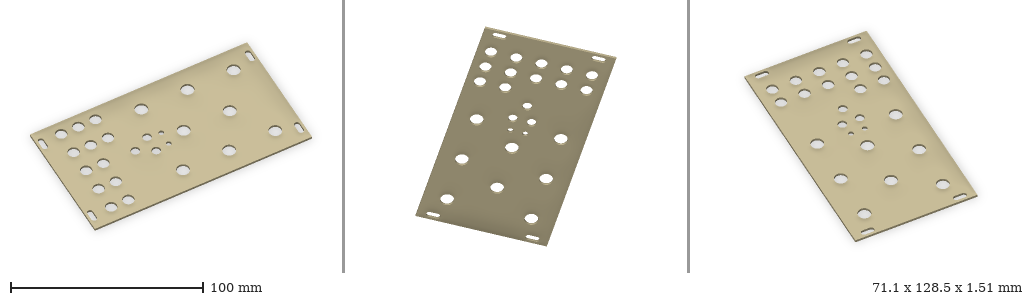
import cadquery as cq

PANEL_WIDTH = 71.12
PANEL_HEIGHT = 128.52
PANEL_THICKNESS = 1.51

SLOT_LENGTH = 7.6
SLOT_WIDTH = 3.2
SLOT_SPACING_X = 53.85
SLOT_SPACING_Y = 122.5

POT_DIAMETER = 7.21
POT_COLUMN_OFFSET = 22.86
POT_PITCH_Y = 27.3
OUTER_POT_TOP_Y = 49.4
OUTER_POT_ROWS = 3
CENTRE_POT_TOP_Y = 34.8
CENTRE_POT_ROWS = 2

LIGHT_DIAMETER = 2.92
LIGHT_SPACING_X = 8.08
LIGHT_Y = -3.54

UPPER_SWITCH_DIAMETER = 4.95
UPPER_SWITCH_SPACING_X = 10.16
UPPER_SWITCH_Y = -11.43
LOWER_SWITCH_DIAMETER = 5.03
LOWER_SWITCH_Y = -21.06

JACK_DIAMETER = 6.4
JACK_LEFT_X = -28.18
JACK_TOP_Y = -29.46
JACK_PITCH_X = 13.71
JACK_PITCH_Y = 10.16
JACKS_PER_ROW = (2, 5, 5)


def make_panel():
    """Flat plate centred on the origin in X and Y, resting on Z = 0."""
    return cq.Workplane("XY").box(
        PANEL_WIDTH, PANEL_HEIGHT, PANEL_THICKNESS, centered=(True, True, False)
    )


def mirrored_pair(spacing, y):
    """Two points at the same height, symmetric about the vertical centreline."""
    return [(-spacing / 2, y), (spacing / 2, y)]


def pot_points():
    """Centres of every potentiometer hole."""
    outer_rows = [OUTER_POT_TOP_Y - row * POT_PITCH_Y for row in range(OUTER_POT_ROWS)]
    centre_rows = [CENTRE_POT_TOP_Y - row * POT_PITCH_Y for row in range(CENTRE_POT_ROWS)]
    points = [(0, y) for y in centre_rows]
    for y in outer_rows:
        points += mirrored_pair(2 * POT_COLUMN_OFFSET, y)
    return points


def jack_points():
    """Centres of every jack hole, row by row from the top."""
    return [
        (JACK_LEFT_X + column * JACK_PITCH_X, JACK_TOP_Y - row * JACK_PITCH_Y)
        for row, jack_count in enumerate(JACKS_PER_ROW)
        for column in range(jack_count)
    ]


def cut_round_holes(panel, points, diameter):
    """Cut through holes of one diameter at the given points."""
    return panel.faces(">Z").workplane(origin=(0, 0, 0)).pushPoints(points).hole(diameter)


def cut_mounting_slots(panel):
    """Cut the four horizontal slots through the plate."""
    return (
        panel.faces(">Z")
        .workplane(origin=(0, 0, 0))
        .rarray(SLOT_SPACING_X, SLOT_SPACING_Y, 2, 2)
        .slot2D(SLOT_LENGTH, SLOT_WIDTH)
        .cutThruAll()
    )


result = make_panel()
result = cut_mounting_slots(result)
result = cut_round_holes(result, pot_points(), POT_DIAMETER)
result = cut_round_holes(result, mirrored_pair(LIGHT_SPACING_X, LIGHT_Y), LIGHT_DIAMETER)
result = cut_round_holes(
    result, mirrored_pair(UPPER_SWITCH_SPACING_X, UPPER_SWITCH_Y), UPPER_SWITCH_DIAMETER
)
result = cut_round_holes(result, [(0, LOWER_SWITCH_Y)], LOWER_SWITCH_DIAMETER)
result = cut_round_holes(result, jack_points(), JACK_DIAMETER)